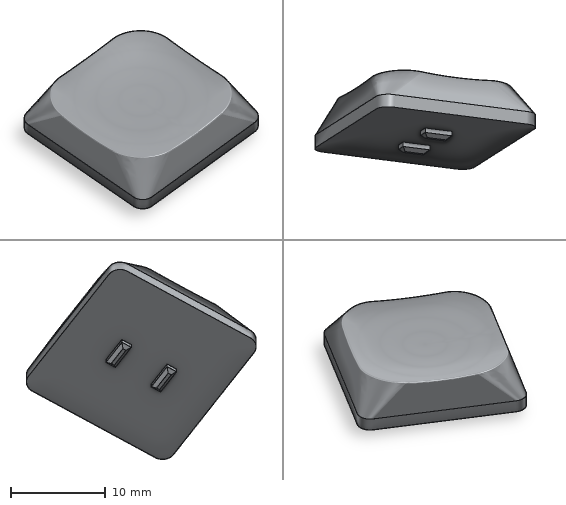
import cadquery as cq
import math

cap_width = 18.4
skirt_height = 1.4
skirt_corner_radius = 1.4
taper_height = 3.68
taper_top_width = 15.93
taper_top_corner_radius = 4.56

dish_radius = 43.05
dish_floor_height = 3.79
rim_fillet = 0.18

stem_spacing = 5.75
stem_width = 1.2
stem_length = 3.1
stem_height = 0.9
stem_chamfer = 0.4


def rounded_square(width, corner_radius, height):
    """Closed outline of a centred rounded square lying at the given height."""
    half = width / 2
    straight = half - corner_radius
    mid = straight + corner_radius * math.sqrt(0.5)
    return (
        cq.Workplane("XY", origin=(0, 0, height))
        .moveTo(-straight, -half)
        .lineTo(straight, -half)
        .threePointArc((mid, -mid), (half, -straight))
        .lineTo(half, straight)
        .threePointArc((mid, mid), (straight, half))
        .lineTo(-straight, half)
        .threePointArc((-mid, mid), (-half, straight))
        .lineTo(-half, -straight)
        .threePointArc((-mid, -mid), (-straight, -half))
        .close()
    )


def make_body():
    """Skirt and tapering walls, before the top is dished."""
    skirt = rounded_square(cap_width, skirt_corner_radius, 0).extrude(skirt_height)
    taper_bottom = rounded_square(cap_width, skirt_corner_radius, skirt_height).val()
    taper_top = rounded_square(
        taper_top_width, taper_top_corner_radius, skirt_height + taper_height
    ).val()
    taper = cq.Solid.makeLoft([taper_bottom, taper_top], True)
    return skirt.union(cq.Workplane(taper))


def dish_top(body):
    """Hollow the top with a sphere and round the rim it leaves."""
    sphere_center = (0, 0, dish_floor_height + dish_radius)
    dish = cq.Workplane("XY").sphere(dish_radius).translate(sphere_center)
    dished = body.cut(dish)
    return dished.faces("%SPHERE").edges("%BSPLINE").fillet(rim_fillet)


def make_stem(center_x):
    """Stem hanging below the cap, chamfered around its tip."""
    return (
        cq.Workplane("XY")
        .center(center_x, 0)
        .rect(stem_width, stem_length)
        .extrude(-stem_height)
        .faces("<Z")
        .chamfer(stem_chamfer)
    )


cap = dish_top(make_body())
for side in (-1, 1):
    cap = cap.union(make_stem(side * stem_spacing / 2))

result = cap.solids()